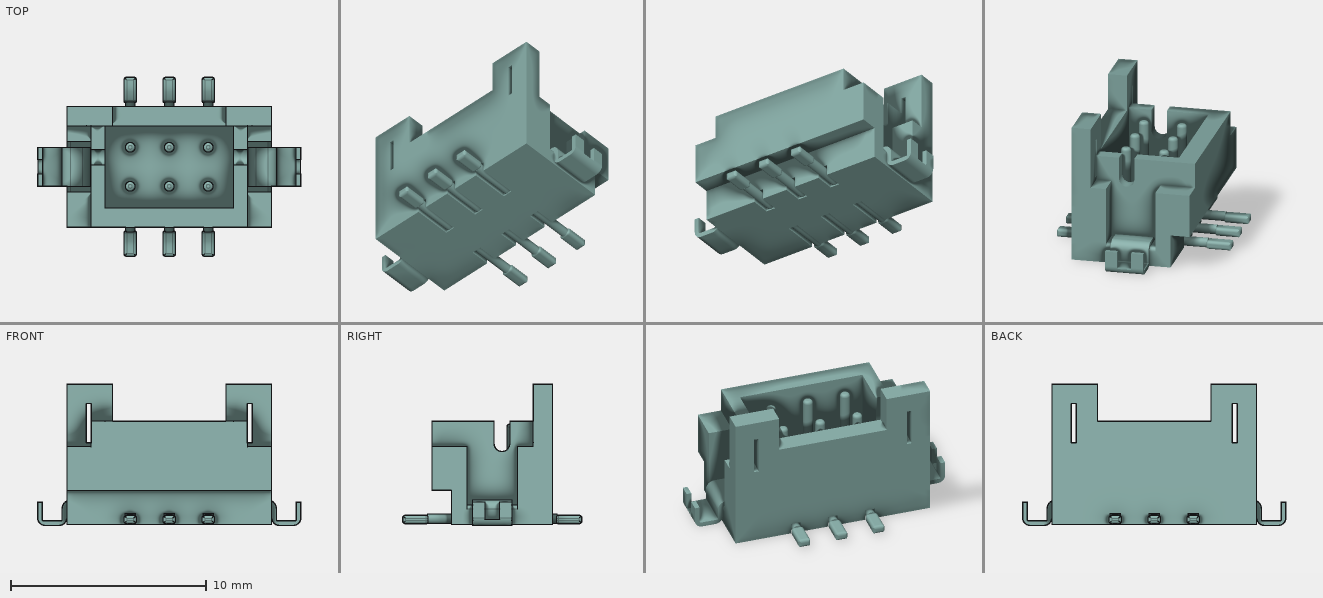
import cadquery as cq
import math

housing_length = 10.5
housing_width = 6.2
wall_top = 5.3
tower_top = 7.2
tower_inner_x = 2.9
wall_thickness = 1.0
cavity_length = 6.6
cavity_floor = 2.25
core_half_length = 4.0
shoulder_top = 4.0
front_overhang = 1.0
overhang_bottom = 1.75

half_length = housing_length / 2
half_width = housing_width / 2
cavity_half_width = half_width - wall_thickness
cavity_half_length = cavity_length / 2

slot_width = 0.25
slot_bottom = 4.2
slot_top = 6.2

notch_width = 0.8
notch_center_y = 0.5
notch_bottom = 3.75

recess_width = 2.6
recess_floor = 1.0
recess_edge_radius = 0.2

clip_span = 13.5
clip_width = 2.0
strip_thickness = 0.25
clip_bottom = -0.05
lip_top = 1.15
hook_inner_radius = 0.2
foot_inner_radius = 0.05
foot_outer_radius = 0.4
lip_notch_width = 0.75
lip_notch_bottom = 0.25

columns = 3
pitch = 2.0
pin_diameter = 0.5
pin_top = 5.15
pin_tip_radius = 0.15
shaft_center_z = 0.3
tail_span = 9.2
tail_length = 1.31
tail_width = 0.65
tail_height = 0.44
tail_center_z = 0.26
tail_edge_radius = 0.16
tail_root_radius = 0.1
shaft_overlap = 0.04
channel_width = 0.53
channel_height = 0.58


def block(x_range, y_range, z_range):
    """Axis-aligned box between the given limits."""
    x0, x1 = sorted(x_range)
    y0, y1 = sorted(y_range)
    z0, z1 = sorted(z_range)
    return cq.Workplane("XY").box(x1 - x0, y1 - y0, z1 - z0, centered=False).translate((x0, y0, z0))


def make_body():
    """Walls, towers and cavity, with the stepped ends and the front overhang."""
    full_x = (-half_length, half_length)
    body = block(full_x, (-half_width, half_width), (0, tower_top))
    back_wall_y = (cavity_half_width, half_width)
    above_walls = (wall_top, tower_top)
    body = body.cut(block(full_x, (-half_width, cavity_half_width), above_walls))
    body = body.cut(block((-tower_inner_x, tower_inner_x), back_wall_y, above_walls))
    body = body.cut(
        block(
            (-cavity_half_length, cavity_half_length),
            (-cavity_half_width, cavity_half_width),
            (cavity_floor, tower_top),
        )
    )
    undercut_y = (-half_width, -half_width + front_overhang)
    return body.cut(block(full_x, undercut_y, (0, overhang_bottom)))


def make_end_cuts(side):
    """Shoulder step, tower slot, wall notch and clip recess at one end."""
    core_x = side * core_half_length
    end_x = side * half_length

    cuts = block((core_x, end_x), (-half_width, cavity_half_width), (shoulder_top, tower_top))

    slot_x = (core_x, core_x + side * slot_width)
    cuts = cuts.union(block(slot_x, (cavity_half_width, half_width), (slot_bottom, slot_top)))

    notch_radius = notch_width / 2
    notch_center_z = notch_bottom + notch_radius
    notch_x = (side * cavity_half_length, core_x)
    notch_y = (notch_center_y - notch_radius, notch_center_y + notch_radius)
    cuts = cuts.union(block(notch_x, notch_y, (notch_center_z, wall_top)))
    notch_round = (
        cq.Workplane("YZ", origin=(min(notch_x), notch_center_y, notch_center_z))
        .circle(notch_radius)
        .extrude(abs(notch_x[1] - notch_x[0]))
    )
    cuts = cuts.union(notch_round)

    recess_y = (-recess_width / 2, recess_width / 2)
    return cuts.union(block((core_x, end_x), recess_y, (recess_floor, shoulder_top)))


def round_recess_edges(body):
    """Round the outer edge of each recess floor so the clip can bend over it."""
    for side in (-1, 1):
        edge_point = (side * half_length, 0, recess_floor)
        body = body.edges(cq.selectors.NearestToPointSelector(edge_point)).fillet(recess_edge_radius)
    return body


def make_clip():
    """Clip at the +X end: hook over the recess floor, foot below it, upturned lip."""
    diagonal = math.sqrt(0.5)
    hook_outer_radius = hook_inner_radius + strip_thickness
    bridge_top = recess_floor + strip_thickness
    hook_center_z = bridge_top - hook_outer_radius
    leg_inside = half_length
    leg_outside = leg_inside + strip_thickness
    outer_arc_x = leg_outside - hook_outer_radius
    inner_arc_x = core_half_length + hook_outer_radius
    lip_outside = clip_span / 2
    lip_inside = lip_outside - strip_thickness
    foot_top = clip_bottom + strip_thickness

    foot_outer_z = clip_bottom + foot_outer_radius
    foot_inner_z = foot_top + foot_inner_radius
    foot_outer_start_x = leg_inside + foot_outer_radius
    foot_outer_end_x = lip_outside - foot_outer_radius
    foot_inner_start_x = leg_outside + foot_inner_radius
    foot_inner_end_x = lip_inside - foot_inner_radius

    def arc_middle(center_x, center_z, radius, x_sign, z_sign):
        return center_x + x_sign * radius * diagonal, center_z + z_sign * radius * diagonal

    inner_hook_top = arc_middle(inner_arc_x, hook_center_z, hook_outer_radius, -1, 1)
    inner_hook_under = arc_middle(inner_arc_x, hook_center_z, hook_inner_radius, -1, 1)
    outer_hook_top = arc_middle(outer_arc_x, hook_center_z, hook_outer_radius, 1, 1)
    outer_hook_under = arc_middle(outer_arc_x, hook_center_z, hook_inner_radius, 1, 1)
    leg_bend_top = arc_middle(foot_inner_start_x, foot_inner_z, foot_inner_radius, -1, -1)
    leg_bend_under = arc_middle(foot_outer_start_x, foot_outer_z, foot_outer_radius, -1, -1)
    lip_bend_top = arc_middle(foot_inner_end_x, foot_inner_z, foot_inner_radius, 1, -1)
    lip_bend_under = arc_middle(foot_outer_end_x, foot_outer_z, foot_outer_radius, 1, -1)

    profile = (
        cq.Workplane("XZ", origin=(0, clip_width / 2, 0))
        .moveTo(core_half_length, hook_center_z)
        .threePointArc(inner_hook_top, (inner_arc_x, bridge_top))
        .lineTo(outer_arc_x, bridge_top)
        .threePointArc(outer_hook_top, (leg_outside, hook_center_z))
        .lineTo(leg_outside, foot_inner_z)
        .threePointArc(leg_bend_top, (foot_inner_start_x, foot_top))
        .lineTo(foot_inner_end_x, foot_top)
        .threePointArc(lip_bend_top, (lip_inside, foot_inner_z))
        .lineTo(lip_inside, lip_top)
        .lineTo(lip_outside, lip_top)
        .lineTo(lip_outside, foot_outer_z)
        .threePointArc(lip_bend_under, (foot_outer_end_x, clip_bottom))
        .lineTo(foot_outer_start_x, clip_bottom)
        .threePointArc(leg_bend_under, (leg_inside, foot_outer_z))
        .lineTo(leg_inside, hook_center_z)
        .threePointArc(outer_hook_under, (outer_arc_x, recess_floor))
        .lineTo(inner_arc_x, recess_floor)
        .threePointArc(inner_hook_under, (core_half_length + strip_thickness, hook_center_z))
        .close()
    )
    clip = profile.extrude(clip_width)
    lip_notch_y = (-lip_notch_width / 2, lip_notch_width / 2)
    return clip.cut(block((lip_inside, lip_outside), lip_notch_y, (lip_notch_bottom, lip_top)))


def make_tail():
    """Flattened tail centred on the origin, pointing to +Y, its tip rounded in plan and in profile."""
    blank = cq.Workplane("XY").box(tail_width, tail_length, tail_height)
    bar = blank.edges("|Y").fillet(tail_edge_radius)
    bar = bar.faces("<Y").edges().fillet(tail_root_radius)
    rounded_in_plan = blank.edges("|Z and >Y").fillet(tail_edge_radius)
    rounded_in_profile = blank.edges("|X and >Y").fillet(tail_edge_radius)
    return bar.intersect(rounded_in_plan).intersect(rounded_in_profile)


def make_pin():
    """Back-row pin at X = 0: upright post, horizontal shaft and flattened solder tail."""
    row_y = pitch / 2
    tail_tip_y = tail_span / 2
    tail_root_y = tail_tip_y - tail_length
    pin_radius = pin_diameter / 2

    post = (
        cq.Workplane("XY", origin=(0, row_y, shaft_center_z))
        .circle(pin_radius)
        .extrude(pin_top - shaft_center_z)
        .faces(">Z")
        .edges()
        .fillet(pin_tip_radius)
    )
    elbow = cq.Workplane("XY").sphere(pin_radius).translate((0, row_y, shaft_center_z))
    shaft = (
        cq.Workplane("XZ", origin=(0, row_y, shaft_center_z))
        .circle(pin_radius)
        .extrude(-(tail_root_y + shaft_overlap - row_y))
    )
    tail = make_tail().translate((0, tail_tip_y - tail_length / 2, tail_center_z))
    return post.union(elbow).union(shaft).union(tail)


def make_channel():
    """Open channel under the housing, from the back pin row at X = 0 to the back face."""
    channel_x = (-channel_width / 2, channel_width / 2)
    return block(channel_x, (pitch / 2, half_width), (0, channel_height))


def at_pin_positions(shape):
    """Copies of a back-row shape at every pin, turned round for the front row."""
    copies = []
    for column in range(columns):
        x = (column - (columns - 1) / 2) * pitch
        copies.append(shape.translate((x, 0, 0)))
        copies.append(shape.rotate((0, 0, 0), (0, 0, 1), 180).translate((x, 0, 0)))
    return copies


housing = make_body()
for end in (-1, 1):
    housing = housing.cut(make_end_cuts(end))
housing = round_recess_edges(housing)
for channel in at_pin_positions(make_channel()):
    housing = housing.cut(channel)

result = housing
right_clip = make_clip()
result = result.union(right_clip).union(right_clip.mirror("YZ"))
for pin in at_pin_positions(make_pin()):
    result = result.union(pin)